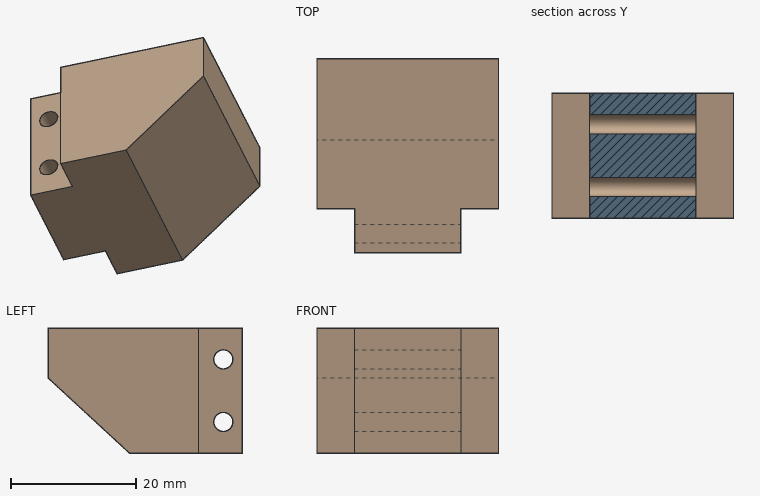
import cadquery as cq

width = 29.0
length = 31.0
height = 20.0

tongue_width = 17.0
tongue_length = 7.0

rear_face_height = 8.0
slope_length = 13.0

hole_diameter = 3.0
hole_setback = 3.05
hole_spacing = 9.98


def make_body():
    """Side profile with the sloped underside, extruded across the width."""
    profile = [
        (0, 0),
        (length - slope_length, 0),
        (length, height - rear_face_height),
        (length, height),
        (0, height),
    ]
    return cq.Workplane("YZ").polyline(profile).close().extrude(width / 2, both=True)


def make_shoulder_cuts():
    """Two corner blocks whose removal leaves the tongue."""
    shoulder_width = (width - tongue_width) / 2
    shoulder_offset = (width + tongue_width) / 4
    return (
        cq.Workplane("XY")
        .pushPoints([(-shoulder_offset, tongue_length / 2), (shoulder_offset, tongue_length / 2)])
        .rect(shoulder_width, tongue_length)
        .extrude(height)
    )


def make_cross_holes():
    """Two holes along X, centred on the tongue height."""
    hole_heights = [(height - hole_spacing) / 2, (height + hole_spacing) / 2]
    return (
        cq.Workplane("YZ")
        .pushPoints([(hole_setback, z) for z in hole_heights])
        .circle(hole_diameter / 2)
        .extrude(width / 2, both=True)
    )


result = make_body().cut(make_shoulder_cuts()).cut(make_cross_holes())